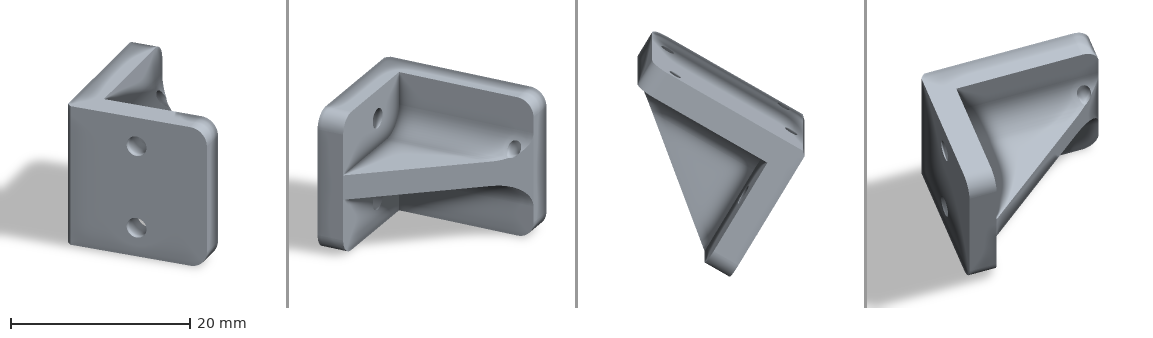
import cadquery as cq
import math

WIDTH = 17.0
LENGTH = 20.0
HEIGHT = 17.0
WALL = 3.2
CORNER_RADIUS = 2.0
EDGE_CHAMFER = 0.5

GUSSET_THICKNESS = 3.0
GUSSET_FILLET = 3.0

MOUNT_DIAMETER = 2.4
MOUNT_SPACING = 10.0

LARGE_DRILL = 1.6
SMALL_DRILL = 1.5
DRILL_POINT_ANGLE = 118.0
BLIND_DEPTH = 2.5
LARGE_THROUGH_POSITION = (18.0, 11.0)
LARGE_BLIND_POSITION = (2.0, 6.0)
SMALL_BLIND_POSITIONS = [(3.0, 15.5), (17.0, 1.5)]

MID_HEIGHT = HEIGHT / 2


def side_plate():
    """Plate in the YZ plane with its two free corners rounded."""
    plate = cq.Workplane("XY").box(WALL, LENGTH, HEIGHT, centered=False)
    return plate.edges("|X and >Y").fillet(CORNER_RADIUS)


def front_plate():
    """Plate in the XZ plane with its two free corners rounded."""
    plate = cq.Workplane("XY").box(WIDTH, WALL, HEIGHT, centered=False)
    return plate.edges("|Y and >X").fillet(CORNER_RADIUS)


def gusset():
    """Triangular web at mid height, flared by concave fillets toward the side plate."""
    flare_end = WALL + GUSSET_FILLET
    web_top = MID_HEIGHT + GUSSET_THICKNESS / 2
    web_bottom = MID_HEIGHT - GUSSET_THICKNESS / 2
    arc_inset = GUSSET_FILLET * (1 - math.sqrt(0.5))
    section = (
        cq.Workplane("XZ")
        .moveTo(WALL, web_bottom - GUSSET_FILLET)
        .threePointArc((WALL + arc_inset, web_bottom - arc_inset), (flare_end, web_bottom))
        .lineTo(WIDTH, web_bottom)
        .lineTo(WIDTH, web_top)
        .lineTo(flare_end, web_top)
        .threePointArc((WALL + arc_inset, web_top + arc_inset), (WALL, web_top + GUSSET_FILLET))
        .close()
        .extrude(-LENGTH)
    )
    triangle = (
        cq.Workplane("XY")
        .polyline([(WALL, WALL), (WIDTH, WALL), (WALL, LENGTH)])
        .close()
        .extrude(HEIGHT)
    )
    return section.intersect(triangle)


def mounting_holes():
    """Pair of through holes along Y, centred on the front plate."""
    spots = [(WIDTH / 2, MID_HEIGHT + side * MOUNT_SPACING / 2) for side in (-1, 1)]
    return cq.Workplane("XZ").pushPoints(spots).circle(MOUNT_DIAMETER / 2).extrude(-WALL)


def blind_hole(position, diameter):
    """Drilled hole along +X from the side plate's outer face, with a conical bottom."""
    radius = diameter / 2
    tip_depth = BLIND_DEPTH + radius / math.tan(math.radians(DRILL_POINT_ANGLE / 2))
    profile = [(0, 0), (0, radius), (BLIND_DEPTH, radius), (tip_depth, 0)]
    drill = cq.Workplane("XY").polyline(profile).close().revolve(360, (0, 0, 0), (1, 0, 0))
    return drill.translate((0, *position))


def through_hole(position, diameter):
    """Hole along X that passes through the side plate and the gusset flare."""
    return cq.Workplane("YZ").center(*position).circle(diameter / 2).extrude(WIDTH)


bracket = side_plate().union(front_plate())
bracket = bracket.edges("|Z and <X and <Y").chamfer(EDGE_CHAMFER)
bracket = bracket.union(gusset())
bracket = bracket.cut(mounting_holes())
bracket = bracket.cut(through_hole(LARGE_THROUGH_POSITION, LARGE_DRILL))
bracket = bracket.cut(blind_hole(LARGE_BLIND_POSITION, LARGE_DRILL))
for small_position in SMALL_BLIND_POSITIONS:
    bracket = bracket.cut(blind_hole(small_position, SMALL_DRILL))

result = bracket